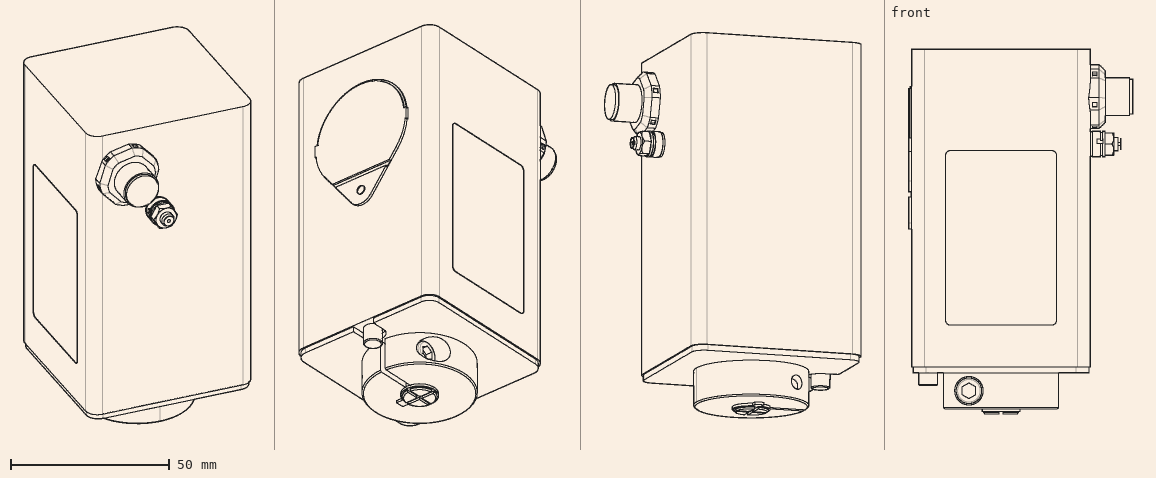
import cadquery as cq
import math


body_width = 56.4
body_corner_radius = 4.0
body_top = 102.0
base_thickness = 1.8
base_inset = 0.5

label_width = 35.0
label_height = 55.0
label_middle_height = 42.5
label_corner_radius = 1.5
label_depth = 0.17

cover_height = 71.9
cover_radius = 18.4
cover_tip_radius = 5.2
cover_tip_drop = 21.4
cover_thickness = 0.9
cover_step = 0.7
cover_step_depth = 0.5
cover_tab_reach = 18.6
cover_tab_height = 4.1
cover_gap = 1.6
cover_gap_drop = 15.6
cover_gap_depth = 0.7
cover_screw_diameter = 3.0
cover_screw_depth = 0.3

hub_diameter = 36.3
hub_height = 11.4
hub_chamfer = 0.5
slit_width = 2.0
clamp_screw_x = -10.1
clamp_screw_z = -5.6
clamp_bore_diameter = 4.5
clamp_counterbore_diameter = 9.0
clamp_counterbore_floor = -7.6
clamp_head_diameter = 8.0
clamp_head_height = 4.0
clamp_head_fillet = 0.5
clamp_socket_corners = 5.0
clamp_socket_depth = 2.3
clamp_shank_end = 9.2

shaft_diameter = 12.0
shaft_shoulder = 0.8
shaft_tip_diameter = 11.0
shaft_end = -13.0
shaft_tip_chamfer = 0.5
shaft_slot_width = 1.2
shaft_tab_width = 3.0
shaft_tab_reach = 8.2

pin_x = -23.0
pin_diameter = 6.0
pin_end = -4.0
pin_chamfer = 0.3
pin_notch_width = 8.2

large_y = -16.1
large_z = 87.0
nut_sides = 6
nut_flats = 19.2
nut_diameter = 20.2
nut_length = 4.7
nut_chamfer = 2.0
nut_root = 0.7
nut_turn = 13.0
nut_pocket_side = 1.5
nut_pocket_depth = 0.7
nut_pocket_shift = 0.3
nut_pocket_offset = 1.4
barrel_diameter = 12.0
barrel_length = 12.3
barrel_lip_diameter = 11.0
large_length = 13.3

small_y = -5.4
small_z = 72.1
small_body_diameter = 8.2
small_hex_start = 4.6
small_steps = [
    (7.8, 0.7),
    (small_body_diameter, 3.1),
    (7.4, 3.8),
    (small_body_diameter, small_hex_start),
    (4.3, 8.7),
    (1.0, 9.4),
    (3.5, 9.7),
]
small_hex_corners = 8.2
small_hex_end = 7.4
small_hex_chamfer = 0.6
small_key_start = 2.1
small_key_end = 3.9
small_key_width = 1.4
small_key_depth = 0.6
small_key_rise = 0.9

half_width = body_width / 2


def cylinder_x(diameter, start, end, y, z):
    """Cylinder along X between two X positions."""
    return cq.Workplane("YZ", origin=(start, y, z)).circle(diameter / 2).extrude(end - start)


def cylinder_y(diameter, start, end):
    """Cylinder along Y on the clamp screw axis."""
    plane = cq.Plane((clamp_screw_x, start, clamp_screw_z), xDir=(0, 0, 1), normal=(0, 1, 0))
    return cq.Workplane(plane).circle(diameter / 2).extrude(end - start)


def cylinder_z(diameter, bottom, top, x=0):
    """Upright cylinder between two heights."""
    return cq.Workplane("XY", origin=(x, 0, bottom)).circle(diameter / 2).extrude(top - bottom)


def make_housing():
    base_width = body_width - 2 * base_inset
    base = (
        cq.Workplane("XY")
        .rect(base_width, base_width)
        .extrude(base_thickness)
        .edges("|Z")
        .fillet(body_corner_radius)
    )
    body = (
        cq.Workplane("XY", origin=(0, 0, base_thickness))
        .rect(body_width, body_width)
        .extrude(body_top - base_thickness)
        .edges("|Z")
        .fillet(body_corner_radius)
    )
    label = (
        cq.Workplane("XZ", origin=(0, -half_width, label_middle_height))
        .rect(label_width, label_height)
        .extrude(-label_depth)
        .edges("|Y")
        .fillet(label_corner_radius)
    )
    notch = cylinder_z(pin_notch_width, 0, base_thickness, pin_x).union(
        cq.Workplane("XY", origin=(pin_x - pin_notch_width, 0, base_thickness / 2))
        .box(2 * pin_notch_width, pin_notch_width, base_thickness)
    )
    return base.cut(notch).union(body).cut(label)


def teardrop(radius, tip_radius, thickness):
    """Round plate running out to a smaller round tip, raised from the -X face."""
    tangent_angle = math.asin((radius - tip_radius) / cover_tip_drop)
    across = math.cos(tangent_angle)
    down = -math.sin(tangent_angle)
    return (
        cq.Workplane("YZ", origin=(-half_width, 0, cover_height))
        .moveTo(radius * across, radius * down)
        .threePointArc((0, radius), (-radius * across, radius * down))
        .lineTo(-tip_radius * across, tip_radius * down - cover_tip_drop)
        .threePointArc(
            (0, -cover_tip_drop - tip_radius),
            (tip_radius * across, tip_radius * down - cover_tip_drop),
        )
        .close()
        .extrude(-thickness)
    )


def make_cover():
    cover = teardrop(cover_radius, cover_tip_radius, cover_thickness)
    outer_face = -half_width - cover_thickness
    tabs = cq.Workplane("XY", origin=(-half_width - cover_thickness / 2, 0, cover_height)).box(
        cover_thickness, 2 * cover_tab_reach, cover_tab_height
    )
    step_floor = outer_face + cover_step_depth
    rim = cylinder_x(2 * cover_tab_reach, outer_face, step_floor, 0, cover_height)
    rim = rim.cut(cylinder_x(2 * (cover_radius - cover_step), outer_face, step_floor, 0, cover_height))
    above_tabs = cq.Workplane("XY", origin=(outer_face, 0, cover_height + cover_tab_height / 2)).box(
        2 * cover_step_depth, 2 * cover_tab_reach, cover_radius, centered=(True, True, False)
    )
    gap = cq.Workplane("XY", origin=(outer_face, 0, cover_height - cover_gap_drop)).box(
        2 * cover_gap_depth, 2 * cover_radius, cover_gap
    )
    screw_hole = cylinder_x(
        cover_screw_diameter, outer_face, outer_face + cover_screw_depth, 0, cover_height - cover_tip_drop
    )
    return cover.cut(rim.intersect(above_tabs)).union(tabs).cut(gap).cut(screw_hole)


def make_hub():
    """Hub with its clamping slit and screw bore, closed on the shaft."""
    hub = cylinder_z(hub_diameter, -hub_height, 0).faces("<Z").chamfer(hub_chamfer)
    slit = cq.Workplane("XY", origin=(-hub_diameter / 2, 0, -hub_height / 2)).box(
        hub_diameter, slit_width, hub_height
    )
    hub = hub.cut(slit)
    hub = hub.cut(cylinder_y(clamp_bore_diameter, -hub_diameter, hub_diameter))
    hub = hub.cut(cylinder_y(clamp_counterbore_diameter, -hub_diameter, clamp_counterbore_floor))
    return hub.union(make_clamp_screw()).union(make_shaft())


def make_clamp_screw():
    head_face = clamp_counterbore_floor - clamp_head_height
    head = (
        cylinder_y(clamp_head_diameter, head_face, clamp_counterbore_floor)
        .faces("<Y")
        .edges()
        .fillet(clamp_head_fillet)
    )
    socket_plane = cq.Plane(
        (clamp_screw_x, head_face, clamp_screw_z), xDir=(0, 0, 1), normal=(0, 1, 0)
    )
    socket = cq.Workplane(socket_plane).polygon(6, clamp_socket_corners).extrude(clamp_socket_depth)
    shank = cylinder_y(clamp_bore_diameter, clamp_counterbore_floor, clamp_shank_end)
    return head.union(shank).cut(socket)


def make_shaft():
    shoulder_bottom = -hub_height - shaft_shoulder
    shaft = cylinder_z(shaft_tip_diameter, -hub_height, 0)
    shoulder = cylinder_z(shaft_diameter, shoulder_bottom, -hub_height)
    tab = cq.Workplane("XY", origin=(0, shaft_tab_reach / 2, shoulder_bottom)).box(
        shaft_tab_width, shaft_tab_reach, shaft_shoulder, centered=(True, True, False)
    )
    tip = cylinder_z(shaft_tip_diameter, shaft_end, shoulder_bottom)
    tip = tip.faces("<Z").chamfer(shaft_tip_chamfer)
    for length, width in ((shaft_diameter, shaft_slot_width), (shaft_slot_width, shaft_diameter)):
        tip = tip.cut(
            cq.Workplane("XY", origin=(0, 0, shaft_end))
            .rect(length, width)
            .extrude(shoulder_bottom - shaft_end)
        )
    return shaft.union(shoulder).union(tab).union(tip)


def make_pin():
    return cylinder_z(pin_diameter, pin_end, base_thickness, pin_x).faces("<Z").chamfer(pin_chamfer)


def make_large_connector():
    nut_end = half_width + nut_length
    start = half_width - nut_root
    nut = (
        cq.Workplane("YZ", origin=(start, 0, 0))
        .polygon(nut_sides, nut_flats / math.cos(math.pi / nut_sides))
        .extrude(nut_end - start)
    )
    nut = nut.intersect(cylinder_x(nut_diameter, start, nut_end, 0, 0)).faces(">X").chamfer(nut_chamfer)
    for corner in range(nut_sides):
        pocket = cq.Workplane(
            "XY", origin=(half_width + nut_pocket_offset, nut_diameter / 2, nut_pocket_shift)
        ).box(nut_pocket_side, 2 * nut_pocket_depth, nut_pocket_side)
        nut = nut.cut(pocket.rotate((0, 0, 0), (1, 0, 0), corner * 360 / nut_sides))
    nut = nut.rotate((0, 0, 0), (1, 0, 0), nut_turn).translate((0, large_y, large_z))
    barrel = cylinder_x(barrel_diameter, half_width, half_width + barrel_length, large_y, large_z)
    lip = cylinder_x(barrel_lip_diameter, half_width, half_width + large_length, large_y, large_z)
    return nut.union(barrel).union(lip)


def make_small_connector():
    start = half_width
    connector = cq.Workplane("XY")
    for diameter, end in small_steps:
        connector = connector.union(
            cylinder_x(diameter, start, half_width + end, small_y, small_z)
        )
        start = half_width + end
    hex_start = half_width + small_hex_start
    hex_end = half_width + small_hex_end
    hexagon = (
        cq.Workplane("YZ", origin=(hex_start, small_y, small_z))
        .polygon(6, small_hex_corners)
        .extrude(hex_end - hex_start)
    )
    hex_bevel = cylinder_x(small_hex_corners, hex_start, hex_end, small_y, small_z)
    hexagon = hexagon.intersect(hex_bevel.faces(">X").chamfer(small_hex_chamfer))
    key_length = small_key_end - small_key_start
    key = cq.Workplane(
        "XY",
        origin=(
            half_width + small_key_start + key_length / 2,
            small_y - small_body_diameter / 2,
            small_z + small_key_rise,
        ),
    ).box(key_length, 2 * small_key_depth, small_key_width)
    return connector.cut(key).union(hexagon)


result = (
    make_housing()
    .union(make_cover())
    .union(make_hub())
    .union(make_pin())
    .union(make_large_connector())
    .union(make_small_connector())
)